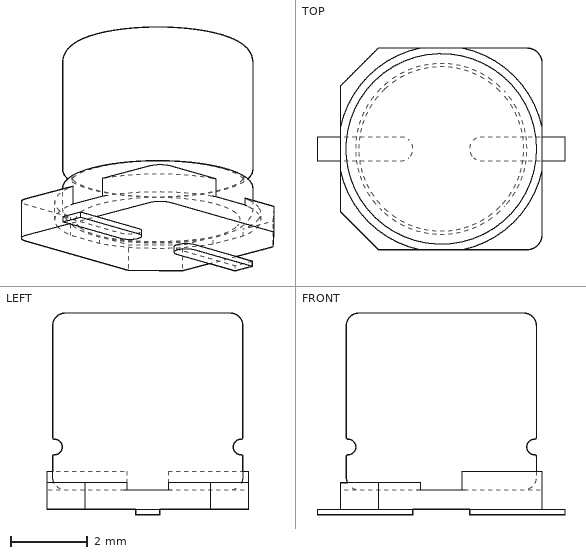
import cadquery as cq
import math

lead_span = 6.5
base_width = 5.3
height = 5.3

base_bottom = 0.14
floor_z = 0.655
low_wall_top = 0.845
high_wall_top = 1.145
corner_chamfer = 1.0
corner_radius = 0.4
recess_radius = 2.705

can_radius = 5.0 / 2
can_edge_radius = 0.34
groove_z = 1.78
groove_radius = 0.2
lip_radius = 0.05

lead_width = 0.64
lead_inner_x = 0.75


def make_base():
    """Plate with two chamfered and two rounded corners, a raised +X half and a round seat."""
    plate = (
        cq.Workplane("XY", origin=(0, 0, base_bottom))
        .rect(base_width, base_width)
        .extrude(high_wall_top - base_bottom)
    )
    plate = plate.edges("|Z and <X").chamfer(corner_chamfer)
    plate = plate.edges("|Z and >X").fillet(corner_radius)
    low_half = cq.Workplane("XY", origin=(0, 0, low_wall_top)).box(
        base_width / 2, base_width, high_wall_top - low_wall_top, centered=(False, True, False)
    ).translate((-base_width / 2, 0, 0))
    seat = (
        cq.Workplane("XY", origin=(0, 0, floor_z))
        .circle(recess_radius)
        .extrude(high_wall_top - floor_z)
    )
    return plate.cut(low_half).cut(seat)


def make_can():
    """Can with rounded ends and a crimp groove whose lips are rounded over."""
    groove_center_x = can_radius - lip_radius
    lip_center_dz = groove_radius + lip_radius
    rounding = can_edge_radius
    diagonal = rounding * math.sqrt(0.5)
    lip_diagonal = lip_radius * math.sqrt(0.5)
    corner_x = can_radius - rounding
    lower_lip_z = groove_z - lip_center_dz
    upper_lip_z = groove_z + lip_center_dz
    profile = (
        cq.Workplane("XZ")
        .moveTo(0, floor_z)
        .lineTo(corner_x, floor_z)
        .threePointArc(
            (corner_x + diagonal, floor_z + rounding - diagonal),
            (can_radius, floor_z + rounding),
        )
        .lineTo(can_radius, lower_lip_z)
        .threePointArc(
            (groove_center_x + lip_diagonal, lower_lip_z + lip_diagonal),
            (groove_center_x, lower_lip_z + lip_radius),
        )
        .threePointArc(
            (groove_center_x - groove_radius, groove_z),
            (groove_center_x, upper_lip_z - lip_radius),
        )
        .threePointArc(
            (groove_center_x + lip_diagonal, upper_lip_z - lip_diagonal),
            (can_radius, upper_lip_z),
        )
        .lineTo(can_radius, height - rounding)
        .threePointArc(
            (corner_x + diagonal, height - rounding + diagonal),
            (corner_x, height),
        )
        .lineTo(0, height)
        .close()
    )
    return profile.revolve(360, (0, 0, 0), (0, 1, 0))


def make_lead(side):
    """Flat lead under the base with a round inner end; side is -1 or +1 along X."""
    half_width = lead_width / 2
    outer_x = side * lead_span / 2
    round_start_x = side * (lead_inner_x + half_width)
    return (
        cq.Workplane("XY")
        .moveTo(outer_x, -half_width)
        .lineTo(round_start_x, -half_width)
        .threePointArc((side * lead_inner_x, 0), (round_start_x, half_width))
        .lineTo(outer_x, half_width)
        .close()
        .extrude(base_bottom)
    )


result = make_base().union(make_can())
for side in (-1, 1):
    result = result.union(make_lead(side))